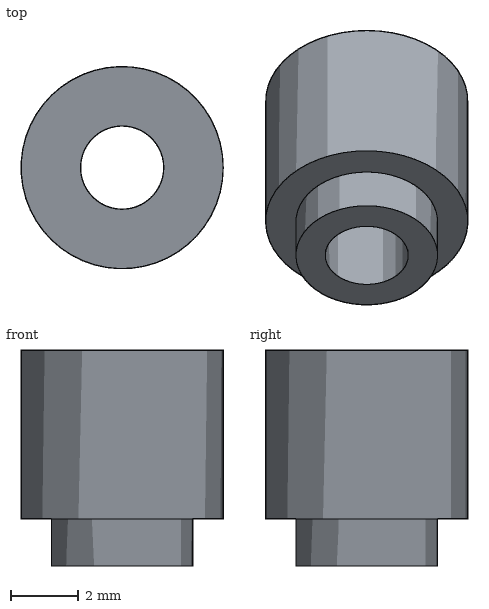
import cadquery as cq

body_diameter = 6.0
body_height = 5.0
spigot_diameter = 4.2
spigot_length = 1.4
bore_diameter = 2.46

total_height = body_height + spigot_length


def cylinder(diameter, height, base_z):
    """Upright cylinder on the Z axis, standing on the plane Z = base_z."""
    return cq.Workplane("XY").workplane(offset=base_z).circle(diameter / 2).extrude(height)


body = cylinder(body_diameter, body_height, 0)
spigot = cylinder(spigot_diameter, spigot_length, -spigot_length)

bore = cylinder(bore_diameter, total_height, -spigot_length)

result = body.union(spigot).cut(bore)